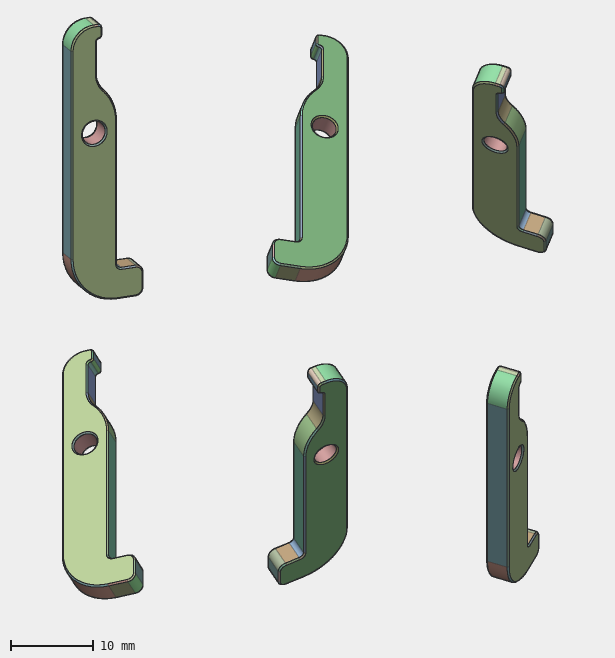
import cadquery as cq
import math

length = 36.0
thickness = 3.0
hook_reach = 9.5
edge_chamfer = 0.2

body_width = 6.0
neck_width = 3.35
tip_width = 4.05

top_back_radius = 3.0
bottom_back_radius = 6.0

hook_height = 4.0
hook_corner_radius = 1.0
hook_inner_radius = 0.6

shoulder_start_z = 23.22
shoulder_outer_radius = 6.0
shoulder_inner_radius = 3.0

nose_corner_radius = 0.5
nose_bottom_z = 34.52
nose_step_radius = 0.4

hole_diameter = 3.0
hole_y = body_width / 2
hole_z = 22.0


def s_curve_points(y, z, y_step, z_direction, convex_radius, concave_radius):
    """Return the points of two tangent arcs running from (y, z) in toward the back edge.

    The convex arc comes first; both ends of the curve are parallel to Z.
    """
    radius_sum = convex_radius + concave_radius
    turn = math.acos(1 - y_step / radius_sum)
    end_y = y - y_step
    end_z = z + z_direction * radius_sum * math.sin(turn)

    def convex_point(angle):
        return (y - convex_radius * (1 - math.cos(angle)), z + z_direction * convex_radius * math.sin(angle))

    def concave_point(angle):
        return (
            end_y + concave_radius * (1 - math.cos(angle)),
            end_z - z_direction * concave_radius * math.sin(angle),
        )

    return [(y, z), convex_point(turn / 2), convex_point(turn), concave_point(turn / 2), (end_y, end_z)]


def make_profile():
    """Draw the closed side outline, before the round corners of the back edge, hook and nose."""
    shoulder = s_curve_points(
        body_width, shoulder_start_z, body_width - neck_width, 1, shoulder_outer_radius, shoulder_inner_radius
    )
    nose = s_curve_points(
        tip_width, nose_bottom_z, tip_width - neck_width, -1, nose_step_radius, nose_step_radius
    )
    return (
        cq.Workplane("YZ")
        .workplane(offset=-thickness / 2)
        .moveTo(0, 0)
        .lineTo(hook_reach, 0)
        .lineTo(hook_reach, hook_height)
        .lineTo(body_width, hook_height)
        .lineTo(*shoulder[0])
        .threePointArc(shoulder[1], shoulder[2])
        .threePointArc(shoulder[3], shoulder[4])
        .lineTo(*nose[4])
        .threePointArc(nose[3], nose[2])
        .threePointArc(nose[1], nose[0])
        .lineTo(tip_width, length)
        .lineTo(0, length)
        .close()
    )


def round_corners(body):
    """Fillet the sharp outline corners, each picked by its place in the YZ plane."""
    corners = [
        (0, 0, bottom_back_radius),
        (0, length, top_back_radius),
        (hook_reach, 0, hook_corner_radius),
        (hook_reach, hook_height, hook_corner_radius),
        (body_width, hook_height, hook_inner_radius),
        (tip_width, length, nose_corner_radius),
    ]
    for y, z, radius in corners:
        corner_edge = body.edges("|X").edges(cq.NearestToPointSelector((0, y, z)))
        body = corner_edge.fillet(radius)
    return body


def drill_pivot_hole(body):
    """Cut the round hole through the full thickness."""
    hole = (
        cq.Workplane("YZ")
        .workplane(offset=-thickness / 2)
        .center(hole_y, hole_z)
        .circle(hole_diameter / 2)
        .extrude(thickness)
    )
    return body.cut(hole)


plate = round_corners(make_profile().extrude(thickness))
plate = drill_pivot_hole(plate)

result = plate.faces("<X or >X").edges().chamfer(edge_chamfer)